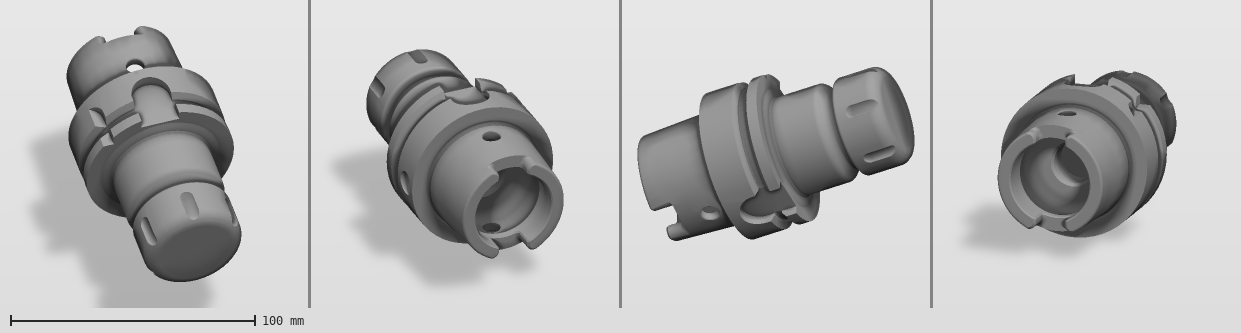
import cadquery as cq
import math


shank_mouth_radius = 22.7
shank_end_round = 1.1
shank_taper = 1 / 10
taper_end_x = 30.0
relief_radius = 23.9
relief_start_x = 30.7
undercut_start_x = 31.4
undercut_round = 0.9
undercut_outer_radius = 25.5

mouth_radius = 17.0
mouth_chamfer = 0.5
lip_x = 12.8
clamping_angle = 60.0
cavity_radius = 20.0
cavity_floor_x = 30.5
cavity_floor_round = 4.4
thread_hole_radius = 8.5
thread_hole_chamfer = 1.1
thread_hole_depth = 10.7

flange_diameter = 63.0
flange_radius = flange_diameter / 2
flange_back_x = 32.0
flange_front_x = 57.9
groove_floor_radius = 27.5
groove_floor_round = 0.7
groove_back_x = 48.2
groove_front_x = 51.5
groove_cone_radius = 28.8
groove_flare_back = 1.6
groove_flare_front = 1.8

nose_radius = 21.1
collar_radius = 25.4
collar_foot_x = 59.1
collar_foot_radius = 21.7
nose_start_x = 59.9
nose_end_x = 78.3
nose_round = 3.3
nose_cone_angle = 45.0
neck_radius = 17.0
neck_round = 0.7

drive_slot_half_width = 6.2
drive_slot_flare_z = 17.5
drive_slot_flare_radius = 3.1
drive_slot_floor_round = 1.5
drive_slot_mouth_chamfer = 1.0
upper_drive_slot_depth = 5.9
lower_drive_slot_depth = 10.0

cross_hole_x = 22.9
cross_hole_radius = 3.7
cross_hole_chamfer = 0.4

keyway_half_width = 8.0
keyway_centre_x = 44.8
keyway_floor_z = 26.4
notch_corner = 20.0
notch_end_radius = 7.5
notch_end_centre_x = 43.9
chip_hole_x = 39.0
chip_hole_radius = 5.0
chip_hole_depth = 4.6

nut_back_x = 86.7
nut_front_x = 107.0
nut_radius = 21.0
nut_back_round = 1.3
nut_front_round = 5.2
wrench_groove_count = 6
wrench_groove_radius = 3.0
wrench_groove_axis_radius = 22.0
wrench_groove_start_x = 94.7

beyond = 42.8
tolerance = 0.001


def revolve_about_x(profile):
    """Turn a closed (x, radius) profile around the X axis."""
    return profile.close().revolve(360, (0, 0, 0), (1, 0, 0))


def inward_arc(start_x, start_radius, arc_radius, angle_deg):
    """Middle and end of an arc that leaves an X-parallel line and bends inward."""
    points = []
    for angle in (math.radians(angle_deg / 2), math.radians(angle_deg)):
        x = start_x + arc_radius * math.sin(angle)
        radius = start_radius - arc_radius * (1 - math.cos(angle))
        points.append((x, radius))
    return points


def turned_body():
    arc_middle, arc_end = inward_arc(nose_end_x, nose_radius, nose_round, nose_cone_angle)
    cone_slope = math.radians(nose_cone_angle)
    neck_corner_x = arc_end[0] + (arc_end[1] - neck_radius) / math.tan(cone_slope)
    neck_tangent = neck_round * math.tan(cone_slope / 2)
    neck_arc_start = (
        neck_corner_x - neck_tangent * math.cos(cone_slope),
        neck_radius + neck_tangent * math.sin(cone_slope),
    )
    base_radius = shank_mouth_radius + (taper_end_x - shank_end_round) * shank_taper / 2
    undercut_end = (undercut_start_x + undercut_round, relief_radius + undercut_round)
    profile = (
        cq.Workplane("XY")
        .lineTo(0, shank_mouth_radius - shank_end_round)
        .radiusArc((shank_end_round, shank_mouth_radius), shank_end_round)
        .lineTo(taper_end_x, base_radius)
        .lineTo(relief_start_x, relief_radius)
        .lineTo(undercut_start_x, relief_radius)
        .radiusArc(undercut_end, -undercut_round)
        .lineTo(flange_back_x, undercut_outer_radius)
        .lineTo(flange_back_x, flange_radius)
        .lineTo(groove_back_x - groove_flare_back, flange_radius)
        .lineTo(groove_back_x, groove_cone_radius)
        .lineTo(groove_back_x, groove_floor_radius + groove_floor_round)
        .radiusArc((groove_back_x + groove_floor_round, groove_floor_radius), -groove_floor_round)
        .lineTo(groove_front_x - groove_floor_round, groove_floor_radius)
        .radiusArc((groove_front_x, groove_floor_radius + groove_floor_round), -groove_floor_round)
        .lineTo(groove_front_x, groove_cone_radius)
        .lineTo(groove_front_x + groove_flare_front, flange_radius)
        .lineTo(flange_front_x, flange_radius)
        .lineTo(flange_front_x, collar_radius)
        .lineTo(collar_foot_x, collar_foot_radius)
        .lineTo(nose_start_x, nose_radius)
        .lineTo(nose_end_x, nose_radius)
        .threePointArc(arc_middle, arc_end)
        .lineTo(*neck_arc_start)
        .radiusArc((neck_corner_x + neck_tangent, neck_radius), -neck_round)
        .lineTo(nut_back_x, neck_radius)
        .lineTo(nut_back_x, 0)
    )
    return revolve_about_x(profile)


def shank_cavity():
    cone_length = (cavity_radius - mouth_radius) / math.tan(math.radians(clamping_angle))
    hole_mouth_radius = thread_hole_radius + thread_hole_chamfer
    hole_end_x = cavity_floor_x + thread_hole_depth
    profile = (
        cq.Workplane("XY")
        .lineTo(0, mouth_radius)
        .lineTo(lip_x, mouth_radius)
        .lineTo(lip_x + cone_length, cavity_radius)
        .lineTo(cavity_floor_x - cavity_floor_round, cavity_radius)
        .radiusArc((cavity_floor_x, cavity_radius - cavity_floor_round), cavity_floor_round)
        .lineTo(cavity_floor_x, hole_mouth_radius)
        .lineTo(cavity_floor_x + thread_hole_chamfer, thread_hole_radius)
        .lineTo(hole_end_x, thread_hole_radius)
        .lineTo(hole_end_x, 0)
    )
    return revolve_about_x(profile)


def drive_slot_outline(margin):
    """Slot section in the YZ plane, widened all round by margin."""
    half_width = drive_slot_half_width + margin
    arc_radius = drive_slot_flare_radius - margin
    arc_centre_y = drive_slot_half_width + drive_slot_flare_radius
    shoulder_z = drive_slot_flare_z + arc_radius
    arc_reach = arc_radius * math.sqrt(0.5)
    arc_y = arc_centre_y - arc_reach
    arc_z = drive_slot_flare_z + arc_reach
    return (
        cq.Workplane("YZ")
        .moveTo(-half_width, 0)
        .lineTo(half_width, 0)
        .lineTo(half_width, drive_slot_flare_z)
        .threePointArc((arc_y, arc_z), (arc_centre_y, shoulder_z))
        .lineTo(beyond, shoulder_z)
        .lineTo(beyond, beyond)
        .lineTo(-beyond, beyond)
        .lineTo(-beyond, shoulder_z)
        .lineTo(-arc_centre_y, shoulder_z)
        .threePointArc((-arc_y, arc_z), (-half_width, drive_slot_flare_z))
        .close()
    )


def drive_slot(depth):
    """Slot on the +Z side, with a rounded floor corner and a chamfered mouth."""
    slot = drive_slot_outline(0).extrude(depth)
    slot = slot.faces(">X").edges().fillet(drive_slot_floor_round)
    mouth_wire = drive_slot_outline(drive_slot_mouth_chamfer).val()
    inner_wire = drive_slot_outline(0).val().translate(cq.Vector(drive_slot_mouth_chamfer, 0, 0))
    mouth = cq.Solid.makeLoft([mouth_wire, inner_wire], True)
    return slot.union(cq.Workplane(mouth))


def cross_hole():
    return (
        cq.Workplane("XY")
        .center(cross_hole_x, 0)
        .circle(cross_hole_radius)
        .extrude(beyond, both=True)
    )


def round_ended_slot(centre_x, centre_y, floor_z, end_radius):
    """Slot cutter above floor_z with a round end, open toward the nose."""
    return (
        cq.Workplane("XY", origin=(centre_x, centre_y, floor_z))
        .moveTo(beyond, -end_radius)
        .lineTo(0, -end_radius)
        .threePointArc((-end_radius, 0), (0, end_radius))
        .lineTo(beyond, end_radius)
        .close()
        .extrude(beyond)
    )


def keyway():
    """Round-ended flat on the +Z side."""
    return round_ended_slot(keyway_centre_x, 0, keyway_floor_z, keyway_half_width)


def orientation_notch():
    """Square-cornered notch on the edge between -Y and +Z, with a round inner end."""
    centre_y = -notch_corner - notch_end_radius
    return round_ended_slot(notch_end_centre_x, centre_y, notch_corner, notch_end_radius)


def chip_hole():
    return (
        cq.Workplane("XZ", origin=(chip_hole_x, flange_radius - chip_hole_depth, 0))
        .circle(chip_hole_radius)
        .extrude(-beyond)
    )


def turned_half(cutter):
    """Turn a +Z side cutter to the -Z side."""
    return cutter.rotate((0, 0, 0), (1, 0, 0), 180)


def chamfer_cross_hole(body):
    """Break the two edges where the cross hole leaves the shank."""
    wall_middle_radius = (cavity_radius + shank_mouth_radius) / 2
    for side in (-1, 1):
        rim = cq.selectors.BoxSelector(
            (cross_hole_x - cross_hole_radius, -cross_hole_radius, side * wall_middle_radius),
            (cross_hole_x + cross_hole_radius, cross_hole_radius, side * flange_radius),
        )
        body = body.edges(rim).chamfer(cross_hole_chamfer)
    return body


def chamfer_mouth(body):
    """Break the inner edge of the shank mouth, following it through the drive slots."""
    rim = []
    for edge in body.edges().vals():
        points = [edge.positionAt(t) for t in (0, 0.5, 1)]
        on_bore = all(abs(math.hypot(p.y, p.z) - mouth_radius) < tolerance for p in points)
        if on_bore and max(p.x for p in points) < lip_x - tolerance:
            rim.append(edge)
    return body.newObject(rim).chamfer(mouth_chamfer)


def make_body():
    body = turned_body().cut(shank_cavity())
    body = chamfer_cross_hole(body.cut(cross_hole()))
    body = body.cut(drive_slot(upper_drive_slot_depth))
    body = body.cut(turned_half(drive_slot(lower_drive_slot_depth)))
    body = chamfer_mouth(body)
    body = body.cut(keyway()).cut(turned_half(keyway()))
    return body.cut(orientation_notch()).cut(chip_hole())


def wrench_groove():
    """Ball-ended groove at the top of the nut, running out through its front round."""
    ball = cq.Workplane("XY").sphere(wrench_groove_radius)
    rod = cq.Workplane("YZ").circle(wrench_groove_radius).extrude(beyond)
    return ball.union(rod).translate((wrench_groove_start_x, 0, wrench_groove_axis_radius))


def make_nut():
    nut_length = nut_front_x - nut_back_x
    nut = cq.Workplane("YZ", origin=(nut_back_x, 0, 0)).circle(nut_radius).extrude(nut_length)
    nut = nut.faces("<X").edges().fillet(nut_back_round)
    nut = nut.faces(">X").edges().fillet(nut_front_round)
    for index in range(wrench_groove_count):
        angle = index * 360 / wrench_groove_count
        nut = nut.cut(wrench_groove().rotate((0, 0, 0), (1, 0, 0), angle))
    return nut


body = make_body()
nut = make_nut()
result = cq.Compound.makeCompound([body.val(), nut.val()])